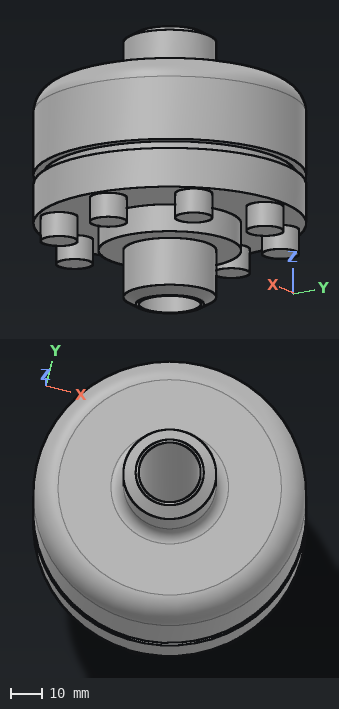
import cadquery as cq
import math

total_height = 90.0
body_top = 72.0
groove_top = 43.0
groove_bottom = 40.0
flange_bottom = 27.0
hub_bottom = 18.0

body_diameter = 88.0
groove_diameter = 82.0
hub_diameter = 46.0
pipe_diameter = 30.0
pipe_end_diameter = 22.0
bore_diameter = 20.0

shoulder_radius = 8.0
neck_radius = 4.0
bevel_height = 2.3

bolt_count = 8
bolt_diameter = 12.0
bolt_height = 8.0
bolt_circle_diameter = 73.0


def revolved_body():
    """Housing, flange, hub and both pipe stubs as one half-section turned about Z."""
    bore_r = bore_diameter / 2
    pipe_r = pipe_diameter / 2
    pipe_end_r = pipe_end_diameter / 2
    hub_r = hub_diameter / 2
    body_r = body_diameter / 2
    groove_r = groove_diameter / 2
    corner_share = 1 - math.sqrt(0.5)
    shoulder_inset = shoulder_radius * corner_share
    neck_inset = neck_radius * corner_share

    profile = (
        cq.Workplane("XZ")
        .moveTo(bore_r, 0)
        .lineTo(pipe_end_r, 0)
        .lineTo(pipe_r, bevel_height)
        .lineTo(pipe_r, hub_bottom)
        .lineTo(hub_r, hub_bottom)
        .lineTo(hub_r, flange_bottom)
        .lineTo(body_r, flange_bottom)
        .lineTo(body_r, groove_bottom)
        .lineTo(groove_r, groove_bottom)
        .lineTo(groove_r, groove_top)
        .lineTo(body_r, groove_top)
        .lineTo(body_r, body_top - shoulder_radius)
        .threePointArc(
            (body_r - shoulder_inset, body_top - shoulder_inset),
            (body_r - shoulder_radius, body_top),
        )
        .lineTo(pipe_r + neck_radius, body_top)
        .threePointArc(
            (pipe_r + neck_inset, body_top + neck_inset),
            (pipe_r, body_top + neck_radius),
        )
        .lineTo(pipe_r, total_height - bevel_height)
        .lineTo(pipe_end_r, total_height)
        .lineTo(bore_r, total_height)
        .close()
    )
    return profile.revolve(360, (0, 0, 0), (0, 1, 0))


def bolt_heads():
    """Ring of round heads hanging from the flange underside."""
    return (
        cq.Workplane("XY")
        .workplane(offset=flange_bottom)
        .polarArray(bolt_circle_diameter / 2, 0, 360, bolt_count)
        .circle(bolt_diameter / 2)
        .extrude(-bolt_height)
    )


result = revolved_body().union(bolt_heads())